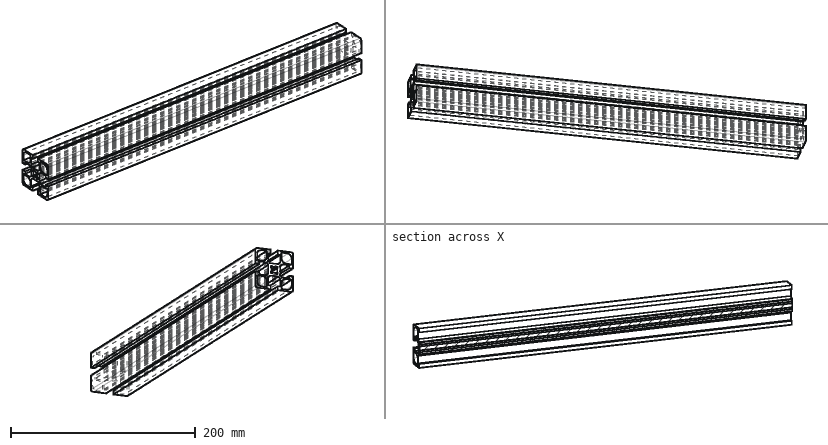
import cadquery as cq

WIDTH = 45.0
LENGTH = 432.5
OUTER_RADIUS = 2.5

SLOT_OPENING = 8.75
LIP_DEPTH = 4.5
SLOT_WIDTH = 14.6
CORE_WIDTH = 14.0
SLOT_CHAMFER = 2.5

OUTER_WALL = 2.0
SLOT_WALL = 1.5
CHAMBER_OUTER_RADIUS = 5.0
CHAMBER_INNER_RADIUS = 5.0

BORE_WIDTH = 6.5
RELIEF_RADIUS = 0.9

QUARTER_TURNS = (0, 90, 180, 270)


def prism(outline):
    """Extrude an outline over the full length, centred on the XZ plane."""
    return outline.extrude(LENGTH / 2, both=True)


def outer_bar():
    """Square bar with rounded long edges."""
    bar = prism(cq.Workplane("XZ").rect(WIDTH, WIDTH))
    return bar.edges("|Y").fillet(OUTER_RADIUS)


def t_slot():
    """Slot cutter for the +Z side: narrow mouth, wide channel, chamfered floor corners."""
    top = WIDTH / 2
    lip = top - LIP_DEPTH
    floor = CORE_WIDTH / 2
    mouth_half = SLOT_OPENING / 2
    channel_half = SLOT_WIDTH / 2
    right_half = [
        (mouth_half, top),
        (mouth_half, lip),
        (channel_half, lip),
        (channel_half, floor + SLOT_CHAMFER),
        (channel_half - SLOT_CHAMFER, floor),
    ]
    left_half = [(-x, z) for x, z in reversed(right_half)]
    return prism(cq.Workplane("XZ").polyline(right_half + left_half).close())


def corner_chamber():
    """Chamber cutter for the +X +Z corner, rounded towards the outer corner and the core."""
    near = SLOT_WIDTH / 2 + SLOT_WALL
    far = WIDTH / 2 - OUTER_WALL
    size = far - near
    middle = (near + far) / 2
    chamber = prism(cq.Workplane("XZ").center(middle, middle).rect(size, size))
    chamber = chamber.edges("|Y and >(1, 0, 1)").fillet(CHAMBER_OUTER_RADIUS)
    return chamber.edges("|Y and <(1, 0, 1)").fillet(CHAMBER_INNER_RADIUS)


def core_bore():
    """Cutter for the square bore and its four corner reliefs."""
    bore = prism(cq.Workplane("XZ").rect(BORE_WIDTH, BORE_WIDTH))
    corners = cq.Workplane("XZ").rect(BORE_WIDTH, BORE_WIDTH, forConstruction=True).vertices()
    reliefs = prism(corners.circle(RELIEF_RADIUS))
    return bore.union(reliefs)


result = outer_bar().cut(core_bore())
for angle in QUARTER_TURNS:
    for cutter in (t_slot(), corner_chamber()):
        result = result.cut(cutter.rotate((0, 0, 0), (0, 1, 0), angle))